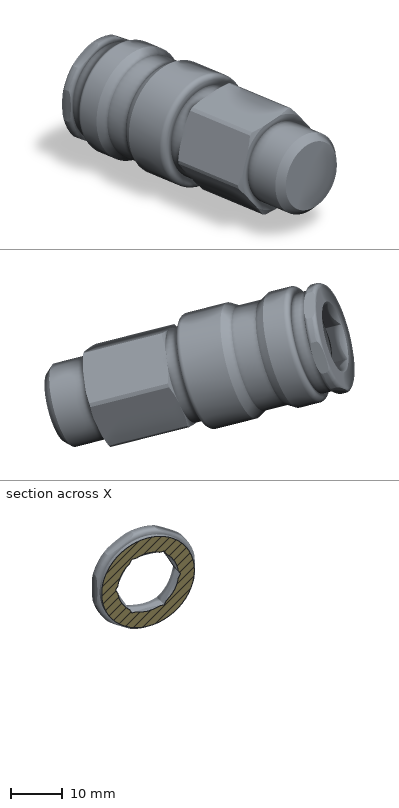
import cadquery as cq
import math

overall_length = 57.5

flange_length = 2.5
flange_diameter = 22.0
flange_flat_distance = 21.0
flange_edge_fillet = 0.8
collar_diameter = 20.05

sleeve_start = 5.2
sleeve_end = 28.7
sleeve_diameter = 23.15
sleeve_edge_fillet = 1.0
groove_diameter = 21.0
groove_start = 10.5
groove_floor_start = 12.4
groove_floor_end = 17.4
groove_end = 19.3

socket_mouth_diameter = 14.1
socket_flat_distance = 12.0
socket_flat_end = 2.9
cavity_start = 3.4
cavity_diameter = 15.0
cavity_floor = 6.5

spigot_diameter = 12.3
spigot_clearance = 0.05
neck_start = groove_floor_start
neck_diameter = 18.95

wrench_start = 31.4
wrench_end = 48.5
wrench_flat_distance = 19.0
wrench_corner_diameter = 21.5
wrench_face_diameter = 19.5
wrench_chamfer_length = 0.4
wrench_rotation = 10.9

thread_diameter = 16.66
tip_diameter = 14.0
tip_chamfer_length = 1.5

HEXAGON_CORNER_RATIO = 1 / math.cos(math.radians(30))


def cylinder(start, end, diameter):
    """Solid cylinder on the X axis between two X positions."""
    return cq.Workplane("YZ", origin=(start, 0, 0)).circle(diameter / 2).extrude(end - start)


def hexagon(start, end, flat_distance, rotation):
    """Hexagonal prism on the X axis; unrotated, two of its corners lie on the Y axis."""
    prism = (
        cq.Workplane("YZ", origin=(start, 0, 0))
        .polygon(6, flat_distance * HEXAGON_CORNER_RATIO)
        .extrude(end - start)
    )
    return prism.rotate((0, 0, 0), (1, 0, 0), rotation)


def turned(profile):
    """Solid of revolution about the X axis from (X, radius) points."""
    return cq.Workplane("XY").polyline(profile).close().revolve(360, (0, 0, 0), (1, 0, 0))


def cone(start, end, start_diameter, end_diameter):
    """Solid truncated cone on the X axis."""
    return turned([(start, 0), (start, start_diameter / 2), (end, end_diameter / 2), (end, 0)])


def make_flange():
    rounded_disc = cylinder(0, flange_length, flange_diameter).edges().fillet(flange_edge_fillet)
    return rounded_disc.intersect(hexagon(0, flange_length, flange_flat_distance, 30))


def make_sleeve():
    outer_radius = sleeve_diameter / 2
    groove_radius = groove_diameter / 2
    profile = [
        (sleeve_start, 0),
        (sleeve_start, outer_radius),
        (groove_start, outer_radius),
        (groove_floor_start, groove_radius),
        (groove_floor_end, groove_radius),
        (groove_end, outer_radius),
        (sleeve_end, outer_radius),
        (sleeve_end, 0),
    ]
    blank = turned(profile)
    return blank.faces("<X or >X").edges().fillet(sleeve_edge_fillet)


def make_socket():
    """Void of the socket: mouth cone, hexagon, relief cone and cavity."""
    mouth_depth = (socket_mouth_diameter - socket_flat_distance) / 2
    mouth = cone(0, mouth_depth, socket_mouth_diameter, socket_flat_distance)
    relief = cone(
        socket_flat_end, cavity_start, socket_flat_distance, socket_flat_distance * HEXAGON_CORNER_RATIO
    )
    cavity = cylinder(cavity_start, cavity_floor, cavity_diameter)
    opening = hexagon(0, cavity_start, socket_flat_distance, 0)
    return opening.union(mouth).union(relief).union(cavity)


def make_connector_bore():
    """Void behind the cavity: a loose hole for the spigot and a fitted one for the neck."""
    spigot_hole = cylinder(cavity_floor, neck_start, spigot_diameter + 2 * spigot_clearance)
    neck_hole = cylinder(neck_start, sleeve_end, neck_diameter)
    return spigot_hole.union(neck_hole)


def make_housing():
    collar = cylinder(0, groove_floor_start, collar_diameter)
    outside = collar.union(make_flange()).union(make_sleeve())
    return outside.cut(make_socket()).cut(make_connector_bore())


def make_wrench_hexagon():
    prism = hexagon(wrench_start, wrench_end, wrench_flat_distance, wrench_rotation)
    face_radius = wrench_face_diameter / 2
    corner_radius = wrench_corner_diameter / 2
    profile = [
        (wrench_start, 0),
        (wrench_start, face_radius),
        (wrench_start + wrench_chamfer_length, corner_radius),
        (wrench_end - wrench_chamfer_length, corner_radius),
        (wrench_end, face_radius),
        (wrench_end, 0),
    ]
    return prism.intersect(turned(profile))


def make_threaded_end():
    tip_start = overall_length - tip_chamfer_length
    thread = cylinder(wrench_start, tip_start, thread_diameter)
    tip = cone(tip_start, overall_length, thread_diameter, tip_diameter)
    return thread.union(tip)


def make_connector():
    spigot = cylinder(cavity_floor, neck_start, spigot_diameter)
    neck = cylinder(neck_start, wrench_start, neck_diameter)
    return spigot.union(neck).union(make_wrench_hexagon()).union(make_threaded_end())


housing = make_housing()
connector = make_connector()
result = cq.Compound.makeCompound([housing.val(), connector.val()])